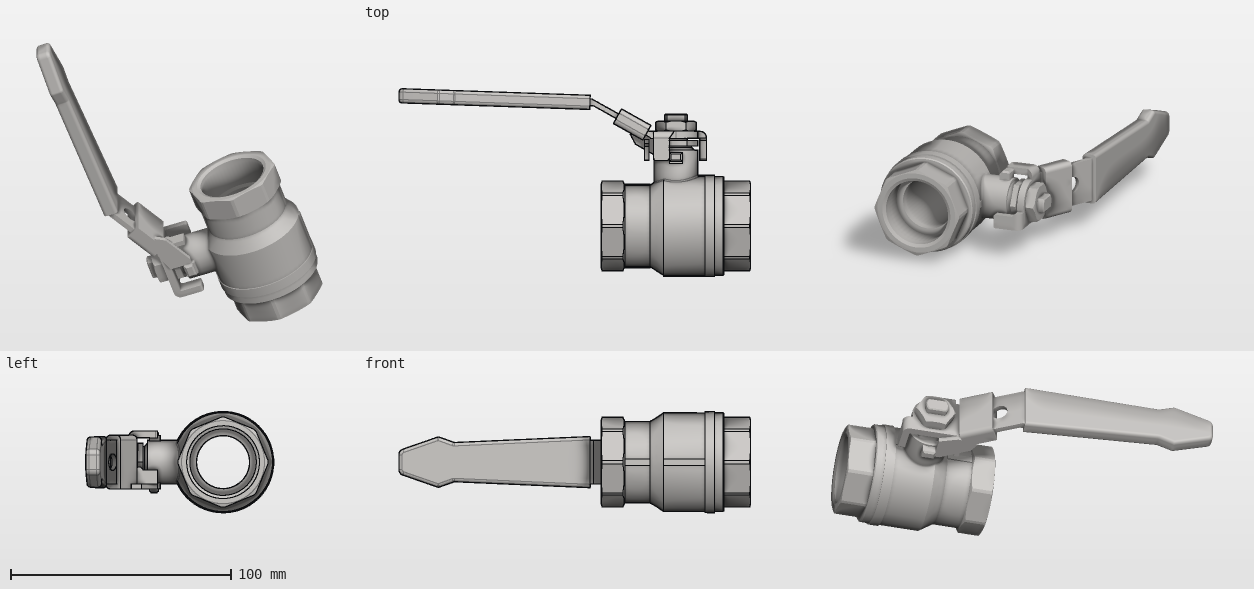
import cadquery as cq
import math


overall_length = 68.0
half_length = overall_length / 2
octagon_flats = 38.4
octagon_corner_dia = 41.0
inlet_octagon_end = -23.2
outlet_octagon_start = 20.8
octagon_back_chamfer = 1.0
octagon_back_drop = 1.9
end_face_dia = 37.7
end_chamfer = 0.5
waist_dia = 37.0
cone_start = -11.8
cone_end = -5.6
body_dia = 45.0
ring_dia = 46.0
ring_start = 13.1
ring_end = 17.6
body_end = 21.9
body_end_chamfer = 0.5

rib_width = 3.0
waist_rib_radius = 19.0
body_rib_radius = 23.0

bore_dia = 24.0
socket_dia = 30.2
socket_depth = 14.4
socket_chamfer = 1.5
socket_chamfer_depth = 0.8

neck_dia = 20.0
neck_top = 34.4
neck_fillet = 0.8
gland_base_dia = 17.3
gland_dia = 14.2
gland_cone_top = 35.7
lock_nut_flats = 17.3
lock_nut_bottom = 36.3
lock_nut_height = 2.5
stem_dia = 10.4
stem_flats = 6.4
stem_top = 50.8
stem_chamfer = 0.5
top_nut_flats = 16.0
top_nut_height = 4.6
nut_chamfer_depth = 0.6
nut_chamfer_width = 1.0

stop_width = 5.9
stop_bottom = 29.3
stop_top = 33.4
stop_reach = 13.9
stop_chamfer = 0.8
stop_foot_bottom = 28.5
stop_foot_reach = 12.2

plate_thickness = 3.2
plate_width = 20.0
plate_bottom = 39.8
plate_top = plate_bottom + plate_thickness
plate_middle = plate_bottom + plate_thickness / 2
bend_x = -11.5
slope_angle = 29.2
grip_angle = 2.0
grip_entry_x = -37.7
grip_insert = 2.5
hang_hole_dia = 7.5
hang_hole_distance = 20.0
tab_bottom = 29.7
end_tab_thickness = 3.2
end_tab_outer_x = 13.9
end_tab_inner_z = -3.5
tab_bend_radius = 3.0
tab_corner_round = 1.0
tab_flare = 1.3
tab_flare_start = 38.7
side_tab_left = -10.2
side_tab_right = -3.0
side_tab_outer_z = 14.2
side_tab_thickness = 3.2
side_tab_root_right = -0.8

latch_start = 1.9
latch_end = 17.3
latch_wall = 2.2
latch_round = 2.2
catch_left = -14.4
catch_thickness = 2.2
catch_top = 39.3
catch_flare_start = 36.1
catch_inner_z = -3.5
flange_right = -3.0
flange_toe_x = -5.5
flange_elbow = (-18.4, 37.1)
flange_heel = (-20.8, 41.5)

grip_thickness = 6.5
grip_start_x = -39.0
tip_x = -125.8
root_half_width = 11.7
waist_x = -100.7
waist_half_width = 9.0
shoulder_x = -108.0
shoulder_half_width = 11.5
tip_half_width = 5.3
tip_round = 2.7
shoulder_round = 1.5
grip_edge_round = 1.6

slope = math.radians(slope_angle)
grip_slope = math.radians(grip_angle)
grip_entry_y = plate_middle + (bend_x - grip_entry_x) * math.tan(slope)


def disc(dia, bottom, top):
    """Cylinder on the stem axis between two heights."""
    return cq.Workplane("XZ", origin=(0, bottom, 0)).circle(dia / 2).extrude(bottom - top)


def box(x_range, y_range, z_range):
    """Box given by its limits along each axis."""
    sizes = [high - low for low, high in (x_range, y_range, z_range)]
    corner = (x_range[0], y_range[0], z_range[0])
    return cq.Workplane("XY").box(*sizes, centered=False).translate(corner)


def turned(profile):
    """Solid turned about X from (x, radius) points; it closes along the axis."""
    points = [(profile[0][0], 0), *profile, (profile[-1][0], 0)]
    return cq.Workplane("XY").polyline(points).close().revolve(360, (0, 0, 0), (1, 0, 0))


def octagon_end(outer_x, inner_x):
    """Octagonal wrench end with its corners on the Y and Z axes, turned down at both ends."""
    inward = math.copysign(1, inner_x - outer_x)
    corner_radius = octagon_corner_dia / 2
    prism = (
        cq.Workplane("YZ", origin=(outer_x, 0, 0))
        .polygon(8, octagon_flats / math.cos(math.pi / 8))
        .extrude(inner_x - outer_x)
    )
    envelope = turned([
        (outer_x, end_face_dia / 2),
        (outer_x + inward * end_chamfer, corner_radius),
        (inner_x - inward * octagon_back_chamfer, corner_radius),
        (inner_x, corner_radius - octagon_back_drop),
    ])
    return prism.intersect(envelope)


def ribs(start_x, end_x, radius):
    """Parting ribs on the +Y and -Y sides."""
    return box((start_x, end_x), (-radius, radius), (-rib_width / 2, rib_width / 2))


def hex_nut(flats, bottom, height):
    """Plain hexagon on the stem axis with two corners on the X direction."""
    corner_dia = flats / math.cos(math.pi / 6)
    return cq.Workplane("XZ", origin=(0, bottom, 0)).polygon(6, corner_dia).extrude(-height)


def chamfered_nut(flats, bottom, height):
    """Hexagon nut with its corners turned down at the top and the bottom."""
    blank = disc(flats / math.cos(math.pi / 6), bottom, bottom + height)
    envelope = blank.faces("<Y or >Y").chamfer(nut_chamfer_depth, nut_chamfer_width)
    return hex_nut(flats, bottom, height).intersect(envelope)


def stop_boss(side):
    """Stepped stop on the +Z (side = 1) or -Z (side = -1) flank of the neck."""
    half = stop_width / 2
    pad = box((-half, half), (stop_bottom, stop_top), (0, stop_reach)).faces(">Z").chamfer(stop_chamfer)
    foot = box((-half, half), (stop_foot_bottom, stop_top), (0, stop_foot_reach))
    boss = pad.union(foot)
    return boss if side > 0 else boss.mirror("XY")


def stem_flat_section(bottom, top):
    """Upper stem length with two flats facing +Z and -Z."""
    flats = box((-stem_dia, stem_dia), (bottom, top), (-stem_flats / 2, stem_flats / 2))
    return disc(stem_dia, bottom, top).intersect(flats)


def make_housing():
    waist_radius = waist_dia / 2
    body_radius = body_dia / 2
    barrel = turned([
        (inlet_octagon_end - octagon_back_chamfer, waist_radius),
        (cone_start, waist_radius),
        (cone_end, body_radius),
        (body_end - body_end_chamfer, body_radius),
        (body_end, body_radius - body_end_chamfer),
    ])
    ring = cq.Workplane("YZ", origin=(ring_start, 0, 0)).circle(ring_dia / 2).extrude(ring_end - ring_start)
    housing = barrel.union(disc(neck_dia, 0, neck_top))
    neck_root = cq.selectors.BoxSelector(
        (-neck_dia, waist_radius / 2, -neck_dia),
        (neck_dia, body_radius, neck_dia),
    )
    housing = housing.edges(neck_root).fillet(neck_fillet)
    housing = housing.union(ring)

    housing = housing.union(octagon_end(-half_length, inlet_octagon_end))
    housing = housing.union(octagon_end(half_length, outlet_octagon_start))
    housing = housing.union(ribs(inlet_octagon_end, cone_start, waist_rib_radius))
    housing = housing.union(ribs(cone_end, ring_start, body_rib_radius))

    gland_cone = (
        cq.Workplane("XZ", origin=(0, neck_top, 0))
        .circle(gland_base_dia / 2)
        .workplane(offset=neck_top - gland_cone_top)
        .circle(gland_dia / 2)
        .loft()
    )
    housing = housing.union(gland_cone)
    housing = housing.union(disc(gland_dia, gland_cone_top, lock_nut_bottom))
    for side in (1, -1):
        housing = housing.union(stop_boss(side))

    housing = housing.union(hex_nut(lock_nut_flats, lock_nut_bottom, lock_nut_height))
    housing = housing.union(disc(stem_dia, lock_nut_bottom, plate_bottom))
    stem = stem_flat_section(plate_bottom, stem_top).faces(">Y").chamfer(stem_chamfer)
    housing = housing.union(stem)
    housing = housing.union(chamfered_nut(top_nut_flats, plate_top, top_nut_height))

    socket_radius = socket_dia / 2
    mouth_radius = socket_radius + socket_chamfer
    bore = turned([
        (-half_length, mouth_radius),
        (-half_length + socket_chamfer_depth, socket_radius),
        (-half_length + socket_depth, socket_radius),
        (-half_length + socket_depth, bore_dia / 2),
        (half_length - socket_depth, bore_dia / 2),
        (half_length - socket_depth, socket_radius),
        (half_length - socket_chamfer_depth, socket_radius),
        (half_length, mouth_radius),
    ])
    return housing.cut(bore)


def sloped(part):
    """Moves a part built along -X at the origin onto the sloped stretch of the lever."""
    return part.rotate((0, 0, 0), (0, 0, 1), -slope_angle).translate((bend_x, plate_middle, 0))


def make_plate():
    half_width = plate_width / 2
    half_thickness = plate_thickness / 2

    outline = (
        cq.Workplane("XZ", origin=(0, plate_bottom, 0))
        .moveTo(bend_x, -half_width)
        .lineTo(0, -half_width)
        .threePointArc((half_width, 0), (0, half_width))
        .lineTo(bend_x, half_width)
        .close()
    )
    plate = outline.extrude(-plate_thickness)

    end_tab = (
        cq.Workplane("YZ")
        .moveTo(tab_bottom, -half_width)
        .lineTo(tab_bottom, end_tab_inner_z)
        .lineTo(tab_flare_start, end_tab_inner_z)
        .lineTo(tab_flare_start + tab_flare, end_tab_inner_z + tab_flare)
        .lineTo(plate_top, end_tab_inner_z + tab_flare)
        .lineTo(plate_top, -half_width)
        .close()
        .extrude(end_tab_outer_x)
    )
    end_tab = end_tab.edges("|X and <Y").fillet(tab_corner_round)
    end_tab = end_tab.edges("|Z and >X and >Y").fillet(tab_bend_radius)
    end_tab_inner_x = end_tab_outer_x - end_tab_thickness
    under = box((0, end_tab_inner_x), (tab_bottom, plate_bottom), (-half_width, half_width))
    plate = plate.union(end_tab.cut(under))

    side_tab = (
        cq.Workplane("XY")
        .moveTo(side_tab_left, tab_bottom)
        .lineTo(side_tab_right, tab_bottom)
        .lineTo(side_tab_right, plate_bottom)
        .lineTo(side_tab_root_right, plate_top)
        .lineTo(side_tab_left, plate_top)
        .close()
        .extrude(side_tab_outer_z)
    )
    side_tab = side_tab.edges("|Z and <Y").fillet(tab_corner_round)
    side_tab = side_tab.edges("|X and >Z and >Y").fillet(tab_bend_radius)
    side_x = (side_tab_left, side_tab_right)
    under = box(side_x, (tab_bottom, plate_bottom), (0, side_tab_outer_z - side_tab_thickness))
    plate = plate.union(side_tab.cut(under))

    low_shift = half_thickness * math.tan(slope / 2)
    high_shift = half_thickness * math.tan((slope - grip_slope) / 2)
    end_x = grip_entry_x - grip_insert
    drop = half_thickness / math.cos(grip_slope)
    end_y = grip_entry_y + grip_insert * math.tan(grip_slope)
    ramp = (
        cq.Workplane("XY", origin=(0, 0, -half_width))
        .moveTo(bend_x - low_shift, plate_top)
        .lineTo(grip_entry_x - high_shift, grip_entry_y + half_thickness)
        .lineTo(end_x, end_y + drop)
        .lineTo(end_x, end_y - drop)
        .lineTo(grip_entry_x + high_shift, grip_entry_y - half_thickness)
        .lineTo(bend_x + low_shift, plate_bottom)
        .lineTo(0, plate_bottom)
        .lineTo(0, plate_top)
        .close()
        .extrude(plate_width)
    )
    plate = plate.union(ramp)

    hole = cq.Workplane("XZ", origin=(-hang_hole_distance, 0, 0)).circle(hang_hole_dia / 2)
    return plate.cut(sloped(hole.extrude(plate_thickness, both=True)))


def make_latch():
    inner_z = plate_width / 2
    outer_z = inner_z + latch_wall
    half_thickness = plate_thickness / 2
    outer_height = half_thickness + latch_wall

    sleeve = box((-latch_end, -latch_start), (-outer_height, outer_height), (-outer_z, outer_z))
    sleeve = sleeve.edges("|X").edges(">Y or >Z").fillet(latch_round)
    passage = box((-latch_end, -latch_start), (-half_thickness, half_thickness), (-inner_z, inner_z))
    latch = sloped(sleeve.cut(passage))

    flange = (
        cq.Workplane("XY", origin=(0, 0, -outer_z))
        .moveTo(*flange_heel)
        .lineTo(*flange_elbow)
        .lineTo(flange_toe_x, tab_bottom)
        .lineTo(flange_right, tab_bottom)
        .lineTo(flange_right, plate_bottom)
        .lineTo(bend_x, plate_top)
        .close()
        .extrude(latch_wall)
    )
    catch = (
        cq.Workplane("YZ", origin=(catch_left, 0, 0))
        .moveTo(tab_bottom, -inner_z)
        .lineTo(tab_bottom, catch_inner_z)
        .lineTo(catch_flare_start, catch_inner_z)
        .lineTo(catch_flare_start + tab_flare, catch_inner_z + tab_flare)
        .lineTo(catch_top, catch_inner_z + tab_flare)
        .lineTo(catch_top, -inner_z)
        .close()
        .extrude(catch_thickness)
    )
    return latch.union(flange).union(catch)


def make_grip():
    grip_length = (grip_start_x - tip_x) / math.cos(grip_slope)
    half_outline = [
        (grip_start_x, root_half_width),
        (waist_x, waist_half_width),
        (shoulder_x, shoulder_half_width),
        (grip_start_x - grip_length, tip_half_width),
    ]
    outline = half_outline + [(x, -z) for x, z in reversed(half_outline)]
    grip = (
        cq.Workplane("XZ", origin=(0, grip_thickness / 2, 0))
        .polyline(outline)
        .close()
        .extrude(grip_thickness)
    )
    grip = grip.edges("|Y and <X").fillet(tip_round)
    waist_and_shoulder = cq.selectors.BoxSelector(
        (shoulder_x - shoulder_round, -grip_thickness, -root_half_width),
        (waist_x + shoulder_round, grip_thickness, root_half_width),
    )
    grip = grip.edges("|Y").edges(waist_and_shoulder).fillet(shoulder_round)
    grip = grip.faces("<Y or >Y").edges("not >X").fillet(grip_edge_round)
    grip = grip.rotate((grip_start_x, 0, 0), (grip_start_x, 0, 1), -grip_angle)
    grip_y = grip_entry_y + (grip_entry_x - grip_start_x) * math.tan(grip_slope)
    return grip.translate((0, grip_y, 0))


def make_lever():
    lever = make_plate().union(make_latch()).union(make_grip())
    return lever.cut(stem_flat_section(plate_bottom, plate_top))


housing = make_housing()
lever = make_lever()

result = cq.Compound.makeCompound([housing.val(), lever.val()])